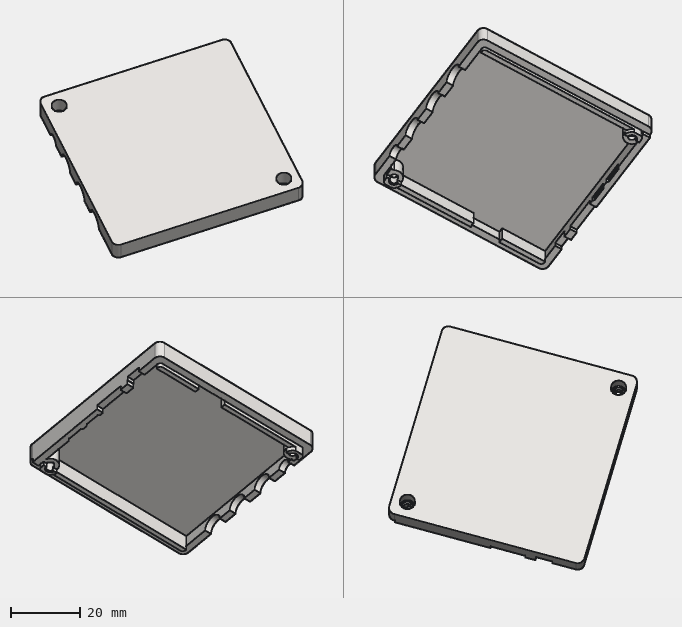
import cadquery as cq

length_x = 58.7
length_y = 59.5
height = 9.0
corner_radius = 2.0
wall = 2.25
top_thickness = 2.0

foot_height = 1.5
lip_height = 1.5
lip_bottom = foot_height
wall_bottom = lip_bottom + lip_height
ceiling = height - top_thickness

inner_x = length_x / 2 - wall
inner_y = length_y / 2 - wall
inner_radius = 1.1

lip_thickness = 1.5
lip_gap_start = 2.85
lip_gap_end = 12.75
lip_return_end = -22.45

boss_x = 24.65
boss_y = 25.1
boss_radius = 2.6
foot_offset = 0.2
screw_diameter = 2.4
head_diameter = 4.4
head_depth = 5.0
seat_diameter = 3.4
seat_depth = (seat_diameter - screw_diameter) / 2
hole_chamfer = 0.35

back_tongues = [(-15.25, -12.15), (-1.65, inner_x)]

tongue_recesses = [(-0.4, 5.55), (7.25, 13.5)]
recess_depth = 0.5
recess_top_slope_height = 0.5
recess_top_slope_depth = 0.2

cable_arch_x = -17.8
cable_arch_radius = 2.0
plug_arch_positions = [-8.05, 3.05, 14.0]
plug_arch_radius = 3.2
back_opening_width = 4.9
back_opening_height = 1.4


def block(x_range, y_range, z_range):
    """Box given by its start and end along each axis."""
    sizes = [end - start for start, end in (x_range, y_range, z_range)]
    corner = (x_range[0], y_range[0], z_range[0])
    return cq.Workplane("XY").box(*sizes, centered=False).translate(corner)


def cylinder(x, y, radius, bottom, top):
    """Upright cylinder between two levels."""
    return cq.Workplane("XY", origin=(x, y, bottom)).circle(radius).extrude(top - bottom)


def cone(x, y, bottom_diameter, top_diameter, bottom, top):
    """Upright truncated cone between two levels."""
    return (
        cq.Workplane("XY", origin=(x, y, bottom))
        .circle(bottom_diameter / 2)
        .workplane(offset=top - bottom)
        .circle(top_diameter / 2)
        .loft()
    )


def rounded_prism(size_x, size_y, radius, bottom, top):
    """Centred upright block with rounded vertical edges."""
    return (
        cq.Workplane("XY", origin=(0, 0, bottom))
        .rect(size_x, size_y)
        .extrude(top - bottom)
        .edges("|Z")
        .fillet(radius)
    )


def make_shell():
    outer = rounded_prism(length_x, length_y, corner_radius, wall_bottom, height)
    cavity = rounded_prism(2 * inner_x, 2 * inner_y, inner_radius, wall_bottom, ceiling)
    return outer.cut(cavity)


def make_lip():
    """Side strips and one short front return, reaching up to the ceiling."""
    levels = (lip_bottom, ceiling)
    left_strip = (-inner_x, -inner_x + lip_thickness)
    right_strip = (inner_x - lip_thickness, inner_x)
    front_strip = (-inner_y, -inner_y + lip_thickness)
    return (
        block(left_strip, (-inner_y, lip_gap_start), levels)
        .union(block(left_strip, (lip_gap_end, inner_y), levels))
        .union(block(right_strip, (-inner_y, inner_y), levels))
        .union(block((-inner_x, lip_return_end), front_strip, levels))
    )


def make_boss(side):
    """Screw boss whose outer part continues down as a foot; side is -1 or 1."""
    x = side * boss_x
    y = side * boss_y
    boss = cylinder(x, y, boss_radius, 0, ceiling)
    corner_x = sorted((x, side * inner_x))
    corner_y = sorted((y, side * inner_y))
    boss = boss.union(block(corner_x, corner_y, (0, ceiling)))
    foot_relief = sorted((x + side * foot_offset, x - side * boss_radius))
    return boss.cut(block(foot_relief, (y - boss_radius, y + boss_radius), (0, foot_height)))


def make_back_tongue(x_range):
    return block(x_range, (inner_y, length_y / 2), (lip_bottom, wall_bottom))


def make_tongue_recess(x_range):
    """Recess open at the bottom, with sides at 45 degrees and a gently sloping top strip."""
    start, end = x_range
    floor_y = inner_y + recess_depth
    recess = (
        cq.Workplane("XY", origin=(0, 0, lip_bottom))
        .moveTo(start, inner_y)
        .lineTo(end, inner_y)
        .lineTo(end - recess_depth, floor_y)
        .lineTo(start + recess_depth, floor_y)
        .close()
        .extrude(lip_height)
    )
    top_slope = (
        cq.Workplane("YZ", origin=(start, 0, 0))
        .moveTo(floor_y, wall_bottom - recess_top_slope_height)
        .lineTo(floor_y, wall_bottom)
        .lineTo(floor_y - recess_top_slope_depth, wall_bottom)
        .close()
        .extrude(end - start)
    )
    return recess.cut(top_slope)


def make_front_arch(x, radius):
    """Round opening through the front wall, centred on its lower edge."""
    return (
        cq.Workplane("XZ", origin=(x, -length_y / 2, wall_bottom))
        .circle(radius)
        .extrude(-wall)
    )


def make_back_opening():
    half_width = back_opening_width / 2
    return block(
        (cable_arch_x - half_width, cable_arch_x + half_width),
        (inner_y, length_y / 2),
        (wall_bottom, wall_bottom + back_opening_height),
    )


def make_screw_hole(side):
    """Deep head recess with a conical seat, a through hole and a chamfered exit."""
    x = side * boss_x
    y = side * boss_y
    seat_top = height - head_depth
    exit_diameter = screw_diameter + 2 * hole_chamfer
    return (
        cylinder(x, y, screw_diameter / 2, 0, height)
        .union(cylinder(x, y, head_diameter / 2, seat_top, height))
        .union(cone(x, y, screw_diameter, seat_diameter, seat_top - seat_depth, seat_top))
        .union(cone(x, y, exit_diameter, screw_diameter, 0, hole_chamfer))
    )


inner_parts = make_lip().union(make_boss(-1)).union(make_boss(1))
inner_outline = rounded_prism(2 * inner_x, 2 * inner_y, inner_radius, 0, ceiling)
result = make_shell().union(inner_parts.intersect(inner_outline))

for tongue in back_tongues:
    result = result.union(make_back_tongue(tongue))
for recess in tongue_recesses:
    result = result.cut(make_tongue_recess(recess))

result = result.cut(make_front_arch(cable_arch_x, cable_arch_radius))
for plug_arch_x in plug_arch_positions:
    result = result.cut(make_front_arch(plug_arch_x, plug_arch_radius))
result = result.cut(make_back_opening())

for corner_side in (-1, 1):
    result = result.cut(make_screw_hole(corner_side))